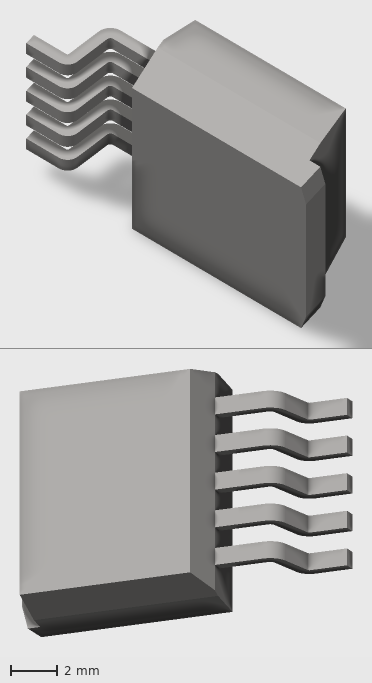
import cadquery as cq
import math


total_length = 15.0
housing_width = 10.0
housing_height = 4.85
housing_base_start = 5.67
housing_base_end = 14.4
housing_nose_start = 5.16
housing_top_start = 5.48
housing_top_end = 13.55
parting_height = housing_height / 2
side_taper = 0.42

tab_thickness = 1.4
tab_inner_start = 9.0
slug_width = 7.26
tab_corner_length = 0.27
tab_corner_width = 1.0

lead_count = 5
lead_pitch = 1.7
lead_width = 0.76
lead_thickness = 0.55
lead_top = 2.97
lead_slope = math.radians(10)
foot_corner = 2.28
foot_inner_radius = 0.09
shoulder_inner_radius = 0.21


def make_housing_blank():
    """Housing without the tab recess: a prism along Z with tapered upper sides."""
    half_width = housing_width / 2
    blank = (
        cq.Workplane("XY")
        .moveTo(housing_base_start, 0)
        .lineTo(housing_base_end, 0)
        .lineTo(housing_top_end, housing_height)
        .lineTo(housing_top_start, housing_height)
        .lineTo(housing_nose_start, lead_top)
        .close()
        .extrude(half_width, both=True)
    )
    tapered_section = (
        cq.Workplane("YZ")
        .moveTo(0, -half_width)
        .lineTo(parting_height, -half_width)
        .lineTo(housing_height, -half_width + side_taper)
        .lineTo(housing_height, half_width - side_taper)
        .lineTo(parting_height, half_width)
        .lineTo(0, half_width)
        .close()
        .extrude(total_length)
    )
    return blank.intersect(tapered_section)


def make_tab(housing_blank):
    """Narrow slug inside the housing and a full-width flange outside it."""
    slug = cq.Workplane("XY").box(
        total_length - tab_inner_start, tab_thickness, slug_width, centered=(False, False, True)
    ).translate((tab_inner_start, 0, 0))
    half_width = housing_width / 2
    chamfer_start = total_length - tab_corner_length
    chamfer_end_z = half_width - tab_corner_width
    flange = (
        cq.Workplane("XZ")
        .moveTo(tab_inner_start, -half_width)
        .lineTo(chamfer_start, -half_width)
        .lineTo(total_length, -chamfer_end_z)
        .lineTo(total_length, chamfer_end_z)
        .lineTo(chamfer_start, half_width)
        .lineTo(tab_inner_start, half_width)
        .close()
        .extrude(-tab_thickness)
        .cut(housing_blank)
    )
    trimmed_slug = slug.intersect(housing_blank)
    return flange.union(trimmed_slug)


def housing_face_x(height):
    """X of the lead-side housing face at a height below the ridge."""
    run = housing_nose_start - housing_base_start
    return housing_base_start + run * height / lead_top


def make_lead(z_centre):
    """Gull-wing lead that ends flush against the slanted housing face."""
    lead_bottom = lead_top - lead_thickness
    leg_width_x = lead_thickness / math.cos(lead_slope)

    def leg_right(height):
        return foot_corner + height * math.tan(lead_slope)

    foot_outer = (foot_corner, 0)
    shoulder_inner = (leg_right(lead_bottom), lead_bottom)
    shoulder_outer = (leg_right(lead_top) - leg_width_x, lead_top)
    foot_inner = (leg_right(lead_thickness) - leg_width_x, lead_thickness)
    lead = (
        cq.Workplane("XY")
        .moveTo(0, 0)
        .lineTo(*foot_outer)
        .lineTo(*shoulder_inner)
        .lineTo(housing_face_x(lead_bottom), lead_bottom)
        .lineTo(housing_nose_start, lead_top)
        .lineTo(*shoulder_outer)
        .lineTo(*foot_inner)
        .lineTo(0, lead_thickness)
        .close()
        .extrude(lead_width / 2, both=True)
    )
    bends = [
        (foot_outer, foot_inner_radius + lead_thickness),
        (shoulder_inner, shoulder_inner_radius),
        (shoulder_outer, shoulder_inner_radius + lead_thickness),
        (foot_inner, foot_inner_radius),
    ]
    for (x, y), radius in bends:
        corner = cq.selectors.NearestToPointSelector((x, y, 0))
        lead = lead.edges("|Z").edges(corner).fillet(radius)
    return lead.translate((0, 0, z_centre))


housing_blank = make_housing_blank()
tab = make_tab(housing_blank)
housing = housing_blank.cut(tab)

leads = []
for index in range(lead_count):
    z_centre = (index - (lead_count - 1) / 2) * lead_pitch
    leads.append(make_lead(z_centre).val())

result = cq.Compound.makeCompound([housing.val(), tab.val(), *leads])